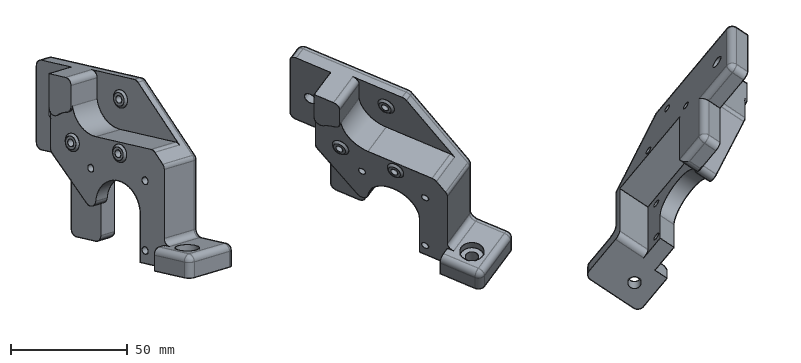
import cadquery as cq
import math

plate_depth = 9.0
motor_pocket_depth = 15.0
body_depth = 22.5
pad_depth = 23.5
foot_depth = 29.0
pulley_floor_depth = 6.5

total_length = 105
total_height = 75.0
edge_radius = 3.0
flange_width = 20
flange_bottom = 35.1
body_right = 84.8
slope_bottom = 45.0
foot_height = 10.1

motor_x = 58.4
motor_z = 21.3
motor_side = 43
motor_bolt_pitch = 31.0
arch_radius = 12.7
small_hole_diameter = 3.4

boss_pitch = 27.0
lower_boss_x = 32.3
lower_boss_z = 46.4
upper_boss_rise = 18.5
boss_base_diameter = 8.1
boss_top_diameter = 6.0
boss_height = pad_depth - body_depth
pulley_clearance = 13.5
pad_wall_offset = 13.3

undercut_z = 40.3
tip_z = 23.0

screw_diameter = 5.7
flange_hole_x = 10.0
flange_hole_z = 52.4
foot_hole_x = 94.9
foot_hole_depth = 19.0
counterbore_diameter = 10.4
counterbore_depth = 3.4

pocket_left = motor_x - motor_side / 2
pocket_right = motor_x + motor_side / 2
pocket_top = motor_z + motor_side / 2
arch_right = motor_x + arch_radius
slope_top_x = body_right - (total_height - slope_bottom)
upper_boss_x = lower_boss_x + boss_pitch / 2
upper_boss_z = lower_boss_z + upper_boss_rise
pad_right = upper_boss_x - pad_wall_offset
pulley_floor_z = upper_boss_z - pulley_clearance
slope_sum = body_right + slope_bottom
diagonal = math.sqrt(0.5)


def at_depth(depth):
    """XZ sketch plane lying the given depth in front of the back face."""
    return cq.Workplane("XZ", origin=(0, -depth, 0))


def cylinder(x, z, diameter, start, end):
    """Cylinder along Y between two depths."""
    return at_depth(start).center(x, z).circle(diameter / 2).extrude(end - start)


def round_edges_at(solid, points):
    """Round the edges parallel to Y that pass through the given XZ points."""
    margin = 0.1
    for x, z in points:
        box = cq.selectors.BoxSelector(
            (x - margin, -total_length, z - margin), (x + margin, total_length, z + margin)
        )
        solid = solid.edges("|Y").edges(box).fillet(edge_radius)
    return solid


def make_plate():
    """Back plate with its outer back edges rounded; the underside of the foot stays square."""
    corners = [
        (0, flange_bottom),
        (0, total_height),
        (slope_top_x, total_height),
        (body_right, slope_bottom),
        (body_right, foot_height),
        (total_length, foot_height),
        (total_length, 0),
        (flange_width, 0),
        (flange_width, flange_bottom),
    ]
    plate = at_depth(0).polyline(corners).close().extrude(plate_depth)
    plate = round_edges_at(plate, corners[:6] + [(flange_width, 0)])
    slot = at_depth(0).center(motor_x, motor_z / 2).rect(arch_radius, motor_z).extrude(plate_depth)
    plate = plate.cut(slot)

    def is_outer(edge):
        middle = edge.Center()
        on_slot = abs(middle.x - motor_x) < arch_radius and middle.z <= motor_z
        under_foot = middle.z < edge_radius / 2 and middle.x > motor_x
        return not on_slot and not under_foot

    back_edges = plate.faces(">Y").edges().filter(is_outer)
    return plate.newObject(back_edges.vals()).fillet(edge_radius)


def make_body():
    """Thick block in front of the plate, with the lower-left tip wrapped around the arch."""
    tip_reach = arch_radius + edge_radius
    tip_x = motor_x - math.sqrt(tip_reach**2 - (tip_z - motor_z) ** 2)
    to_tip = math.hypot(tip_x - flange_width, undercut_z - tip_z)
    dip = math.atan2(undercut_z - tip_z, tip_x - flange_width) + math.asin(edge_radius / to_tip)
    tangent_x = tip_x - edge_radius * math.sin(dip)
    tangent_z = tip_z - edge_radius * math.cos(dip)
    contact_x = tip_x + (motor_x - tip_x) * edge_radius / tip_reach
    contact_z = tip_z + (motor_z - tip_z) * edge_radius / tip_reach

    profile = (
        at_depth(plate_depth)
        .moveTo(flange_width, total_height)
        .lineTo(slope_top_x, total_height)
        .lineTo(body_right, slope_bottom)
        .lineTo(body_right, foot_height)
        .lineTo(total_length - edge_radius, foot_height)
        .lineTo(total_length - edge_radius, 0)
        .lineTo(arch_right, 0)
        .lineTo(arch_right, motor_z)
        .threePointArc((motor_x, motor_z + arch_radius), (contact_x, contact_z))
        .threePointArc((tip_x, tip_z - edge_radius), (tangent_x, tangent_z))
        .lineTo(flange_width, undercut_z)
        .close()
    )
    body = profile.extrude(body_depth - plate_depth)
    corners = [
        (slope_top_x, total_height),
        (body_right, slope_bottom),
        (body_right, foot_height),
        (flange_width, undercut_z),
    ]
    return round_edges_at(body, corners)


def make_pad():
    """Thin raised pad at the top left, relieved around the lower-left boss."""
    reach = pad_wall_offset + edge_radius
    left_x = flange_width + edge_radius
    left_z = lower_boss_z + math.sqrt(reach**2 - (left_x - lower_boss_x) ** 2)
    right_x = pad_right - edge_radius
    right_z = lower_boss_z + math.sqrt(reach**2 - (right_x - lower_boss_x) ** 2)
    share = edge_radius / reach
    left_contact = (left_x + (lower_boss_x - left_x) * share, left_z + (lower_boss_z - left_z) * share)
    right_contact = (right_x + (lower_boss_x - right_x) * share, right_z + (lower_boss_z - right_z) * share)
    relief_lean = math.radians(20)
    relief_middle = (
        lower_boss_x - pad_wall_offset * math.sin(relief_lean),
        lower_boss_z + pad_wall_offset * math.cos(relief_lean),
    )
    return (
        at_depth(body_depth)
        .moveTo(flange_width, total_height)
        .lineTo(flange_width, left_z)
        .threePointArc((left_x, left_z - edge_radius), left_contact)
        .threePointArc(relief_middle, right_contact)
        .threePointArc(
            (right_x + edge_radius * diagonal, right_z - edge_radius * diagonal), (pad_right, right_z)
        )
        .lineTo(pad_right, total_height)
        .close()
        .extrude(boss_height)
    )


def make_foot():
    """Front part of the mounting foot, rounded along its top, front and outer edges."""
    foot = cq.Workplane("XY").box(
        total_length - body_right, foot_depth - plate_depth, foot_height, centered=False
    )
    foot = foot.translate((body_right, -foot_depth, 0))
    top_and_front = foot.edges("(>Z and >X) or (>Z and <Y) or (>X and <Y)")
    return top_and_front.fillet(edge_radius)


def make_motor_pocket():
    """Square motor recess in the back, flared by the rounded corners at its open bottom."""
    bend = edge_radius * (1 - diagonal)
    return (
        at_depth(0)
        .moveTo(pocket_left - edge_radius, 0)
        .threePointArc((pocket_left - bend, bend), (pocket_left, edge_radius))
        .lineTo(pocket_left, pocket_top)
        .lineTo(pocket_right, pocket_top)
        .lineTo(pocket_right, edge_radius)
        .threePointArc((pocket_right + bend, bend), (pocket_right + edge_radius, 0))
        .close()
        .extrude(motor_pocket_depth)
    )


def make_pulley_pocket():
    """Open pocket around the upper boss; its rims at the top face and the slope are rounded."""
    bend = edge_radius * (1 - diagonal)
    wall_drop = math.sqrt(pulley_clearance**2 - pad_wall_offset**2)
    floor_end = slope_sum - pulley_floor_z
    half_bend = math.radians(45) / 2
    run = edge_radius * math.tan(half_bend)
    floor_round_start = floor_end - run
    return (
        at_depth(pulley_floor_depth)
        .moveTo(pad_right - edge_radius, total_height)
        .threePointArc((pad_right - bend, total_height - bend), (pad_right, total_height - edge_radius))
        .lineTo(pad_right, upper_boss_z - wall_drop)
        .threePointArc(
            (upper_boss_x - pulley_clearance * diagonal, upper_boss_z - pulley_clearance * diagonal),
            (upper_boss_x, pulley_floor_z),
        )
        .lineTo(floor_round_start, pulley_floor_z)
        .threePointArc(
            (
                floor_round_start + edge_radius * math.sin(half_bend),
                pulley_floor_z - edge_radius * (1 - math.cos(half_bend)),
            ),
            (floor_end + run * diagonal, pulley_floor_z - run * diagonal),
        )
        .lineTo(total_length, pulley_floor_z)
        .lineTo(total_length, total_height)
        .close()
        .extrude(pad_depth - pulley_floor_depth)
    )


def make_boss(x, z, base_depth):
    """Conical spacer standing on a face at the given depth."""
    base = at_depth(base_depth).center(x, z).circle(boss_base_diameter / 2)
    return base.workplane(offset=boss_height).circle(boss_top_diameter / 2).loft()


result = make_plate().union(make_body()).union(make_pad()).union(make_foot())
result = result.cut(make_motor_pocket()).cut(make_pulley_pocket())

bosses = [
    (lower_boss_x, lower_boss_z, body_depth),
    (lower_boss_x + boss_pitch, lower_boss_z, body_depth),
    (upper_boss_x, upper_boss_z, pulley_floor_depth),
]
for x, z, base_depth in bosses:
    result = result.union(make_boss(x, z, base_depth))
    result = result.cut(cylinder(x, z, small_hole_diameter, 0, pad_depth))

half_pitch = motor_bolt_pitch / 2
for side, level in [(-1, 1), (1, 1), (1, -1)]:
    hole = cylinder(
        motor_x + side * half_pitch, motor_z + level * half_pitch, small_hole_diameter, 0, body_depth
    )
    result = result.cut(hole)

result = result.cut(cylinder(flange_hole_x, flange_hole_z, screw_diameter, 0, plate_depth))
result = (
    result.copyWorkplane(cq.Workplane("XY", origin=(foot_hole_x, -foot_hole_depth, foot_height)))
    .cboreHole(screw_diameter, counterbore_diameter, counterbore_depth)
)